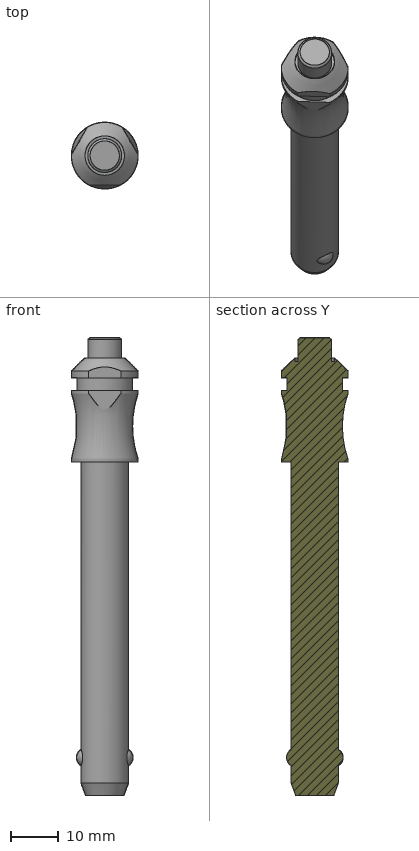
import cadquery as cq
import math

total_length = 95.8
head_radius = 7.0

shank_radius = 5.0
tip_radius = 4.0
tip_height = 2.6

handle_bottom = 69.7
handle_top = 84.8
rim_height = 0.7
waist_radius = 5.8

collar_bottom = 87.4
collar_edge_top = 88.8
collar_cone_top = 90.8
collar_top = 91.6
cone_top_radius = 5.0
collar_top_radius = 4.1

button_gap_depth = 0.8
button_radius = 3.5
button_chamfer_height = 0.4
button_top_radius = 3.1

flat_distance = 6.1
flat_angles = (30, 150, 270)

ball_radius = 2.0
ball_height = 7.95
ball_reach = 5.9

waist_height = (handle_bottom + handle_top) / 2
flare_bottom = handle_bottom + rim_height
flare_top = handle_top - rim_height


def flare_middle():
    """Return the radius and half height midway along a flare that is tangent to the waist."""
    flare_rise = head_radius - waist_radius
    half_height = flare_top - waist_height
    arc_radius = (half_height**2 + flare_rise**2) / (2 * flare_rise)
    half_angle = math.asin(half_height / arc_radius) / 2
    middle_radius = waist_radius + arc_radius * (1 - math.cos(half_angle))
    return middle_radius, arc_radius * math.sin(half_angle)


def make_body():
    """Revolve the shank, handle, collar and button as one profile."""
    middle_radius, middle_offset = flare_middle()
    return (
        cq.Workplane("XZ")
        .lineTo(tip_radius, 0)
        .lineTo(shank_radius, tip_height)
        .lineTo(shank_radius, handle_bottom)
        .lineTo(head_radius, handle_bottom)
        .lineTo(head_radius, flare_bottom)
        .threePointArc((middle_radius, waist_height - middle_offset), (waist_radius, waist_height))
        .threePointArc((middle_radius, waist_height + middle_offset), (head_radius, flare_top))
        .lineTo(head_radius, handle_top)
        .lineTo(waist_radius, handle_top)
        .lineTo(waist_radius, collar_bottom)
        .lineTo(head_radius, collar_bottom)
        .lineTo(head_radius, collar_edge_top)
        .lineTo(cone_top_radius, collar_cone_top)
        .tangentArcPoint((collar_top_radius, collar_top), relative=False)
        .lineTo(collar_top_radius, collar_top - button_gap_depth)
        .lineTo(button_radius, collar_top - button_gap_depth)
        .lineTo(button_radius, total_length - button_chamfer_height)
        .lineTo(button_top_radius, total_length)
        .lineTo(0, total_length)
        .close()
        .revolve(360, (0, 0, 0), (0, 1, 0))
    )


def make_flat_cutter(angle):
    """Return a block that trims everything beyond the flat facing the given angle."""
    return (
        cq.Workplane("XY")
        .box(head_radius, 2 * head_radius, collar_top - waist_height, centered=(False, True, False))
        .translate((flat_distance, 0, waist_height))
        .rotate((0, 0, 0), (0, 0, 1), angle)
    )


def make_ball(side):
    """Return a locking ball on the +X (side = 1) or -X (side = -1) side of the shank."""
    ball_center = (side * (ball_reach - ball_radius), 0, ball_height)
    return cq.Workplane("XY").sphere(ball_radius).translate(ball_center)


result = make_body()
for flat_angle in flat_angles:
    result = result.cut(make_flat_cutter(flat_angle))
for ball_side in (-1, 1):
    result = result.union(make_ball(ball_side))